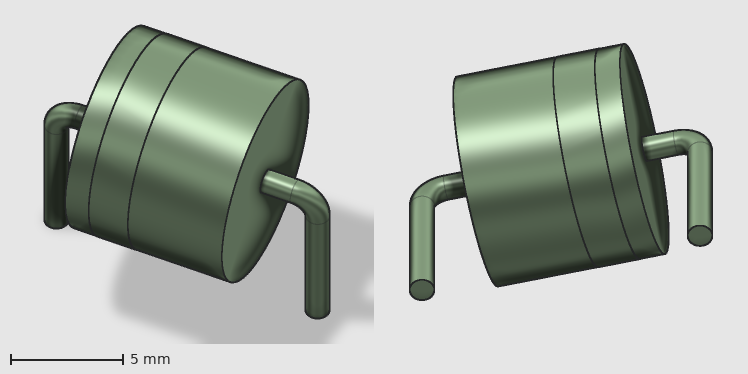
import cadquery as cq

body_diameter = 9.53
body_length = 7.62
band_diameter = 9.55
band_width = body_length / 4
band_offset = 0.15 * body_length

lead_diameter = 1.1
lead_pitch = 12.7
lead_bend_radius = lead_diameter
lead_depth = 3.0

axis_height = body_diameter / 2
body_start = (lead_pitch - body_length) / 2


def cylinder_along_x(start, length, diameter):
    """Solid cylinder on the body axis, running from X = start."""
    return (
        cq.Workplane("YZ", origin=(start, 0, axis_height))
        .circle(diameter / 2)
        .extrude(length)
    )


def bent_lead(pin_x, direction):
    """Lead rising at pin_x, then bent through 90 degrees to meet the body.

    direction is +1 when the body lies toward +X of the pin and -1 otherwise.
    """
    bend_start_z = axis_height - lead_bend_radius
    bend_end_x = pin_x + direction * lead_bend_radius
    body_end_x = pin_x + direction * body_start
    centreline = (
        cq.Workplane("XZ")
        .moveTo(pin_x, -lead_depth)
        .lineTo(pin_x, bend_start_z)
        .tangentArcPoint((bend_end_x, axis_height), relative=False)
        .lineTo(body_end_x, axis_height)
    )
    return (
        cq.Workplane("XY", origin=(pin_x, 0, -lead_depth))
        .circle(lead_diameter / 2)
        .sweep(centreline)
    )


body = cylinder_along_x(body_start, body_length, body_diameter)
band = cylinder_along_x(body_start + band_offset, band_width, band_diameter)

result = (
    body.union(band)
    .union(bent_lead(0, 1))
    .union(bent_lead(lead_pitch, -1))
)